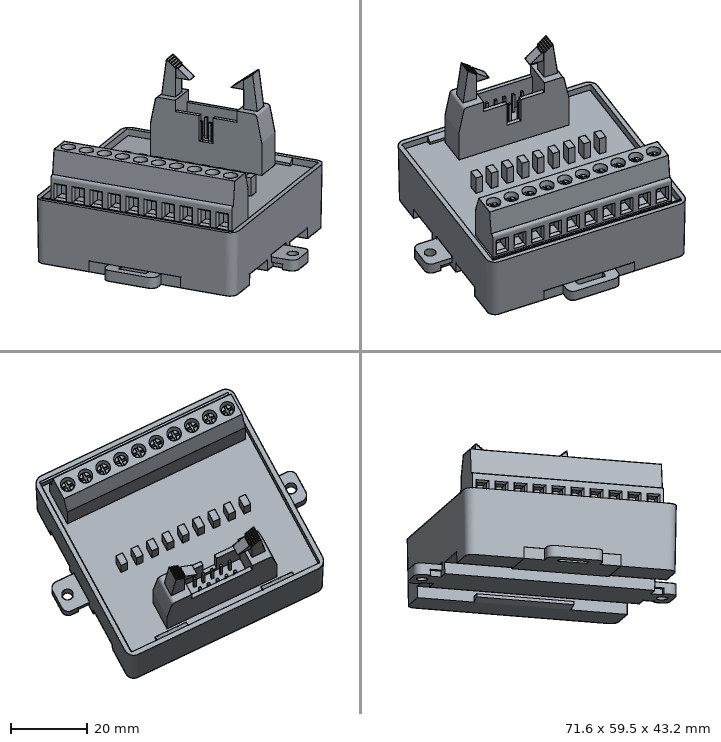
import cadquery as cq
import math

HOUSING_X = 58.0
HOUSING_Y = 56.0
HOUSING_Z = 18.05
DRAFT_ANGLE = 1.0
CORNER_RADIUS = 2.3
RIM_WALL = 1.35
RIM_CORNER_RADIUS = 0.35
LIP_DEPTH = 0.6
LIP_STEP = 0.15

BOARD_TOP = 16.2
BOARD_THICKNESS = 1.6
BOARD_GAP = 0.2

TAB_X = 9.1
TAB_Y = 1.35
TAB_SPACING = 31.1
TAB_FRONT_Z = 16.9

FOOT_Y = -0.3
FOOT_HEIGHT = 3.1
RAIL_WIDTH = 35.65
CENTRE_BLOCK_Y = 13.9
HOOK_HEIGHT = 1.6
HOOK_TIP_Z = 0.7
FIXED_HOOK_REACH = 2.7
RAIL_RIB_Y = 1.7
RAIL_RIB_SETBACK = 2.2
RAIL_RIB_HEIGHT = 0.3
EAR_TIP_X = 35.8
EAR_Y = 9.1
EAR_CORNER_RADIUS = 1.9
EAR_HOLE_DIAMETER = 3.0
EAR_HOLE_X = 32.8
EAR_RELIEF_X = 31.9
EAR_RELIEF_HEIGHT = 1.6
EAR_RELIEF_Y = 1.1
EAR_POCKET_RISE = 0.65

LATCH_X = 26.5
LATCH_HOOK_REACH = 2.1
LATCH_HOOK_BEVEL = 0.9
PULL_X = 15.2
PULL_END_Y = -31.5
PULL_CORNER_RADIUS = 1.9
PULL_SLOT_X = 8.0
PULL_SLOT_END_Y = -29.4
PULL_SLOT_RADIUS = 0.5

TERMINAL_COUNT = 10
TERMINAL_X = 52.3
TERMINAL_ROW_X = 46.8
TERMINAL_FRONT_Y = -23.7
TERMINAL_BACK_Y = -13.5
TERMINAL_TOP_FRONT_Y = -21.85
TERMINAL_TOP_BACK_Y = -15.5
TERMINAL_TOP = 30.2
TERMINAL_BACK_SHOULDER = 24.9
TERMINAL_LEDGE = 23.5
TERMINAL_LEDGE_DEPTH = 1.0
TERMINAL_LEDGE_RADIUS = 0.85

SCREW_SEAT_DIAMETER = 3.8
SCREW_HEAD_DIAMETER = 3.0
SCREW_SEAT_DEPTH = 1.4
SCREW_SLOT_WIDTH = 0.6
SCREW_SLOT_DEPTH = 0.6

ENTRY_X = 3.6
ENTRY_TOP = 21.5
ENTRY_BOTTOM = 16.9
ENTRY_BEVEL = 0.5
ENTRY_BEVEL_DEPTH = 0.7
ENTRY_DEPTH = 3.6

LAMP_COUNT = 9
LAMP_PITCH = 4.5
LAMP_ROW_X = 0.7
LAMP_ROW_Y = 3.45
LAMP_X = 1.9
LAMP_Y = 3.0
LAMP_TOP = 21.35

HEADER_X = 32.2
HEADER_Y = 8.2
HEADER_CENTRE_Y = 20.3
HEADER_TOP = 33.1
HEADER_SHOULDER = 25.3
HEADER_TOP_X = 29.1
HEADER_TOP_RADIUS = 1.0
HEADER_WALL = 1.15
HEADER_WALL_TOP = 29.9
SOCKET_X = 17.75
SOCKET_FLOOR = 21.5
KEY_X = 4.0
KEY_BOTTOM = 22.8

PIN_COLUMNS = 5
PIN_ROWS = 2
PIN_COLUMN_PITCH = 2.6
PIN_ROW_PITCH = 3.15
PIN_SIDE = 0.65
PIN_TOP = 27.35

LEVER_Y = 4.0
LEVER_TOP = 43.25
LEVER_BASE_OUTER_X = 13.95
LEVER_TOP_OUTER_X = 12.45
LEVER_TIP_FLAT = 0.2
LEVER_INNER_X = 9.9
CLAW_Y = 2.9
CLAW_TIP_X = 5.95
CLAW_BOTTOM = 38.3
GRIP_TEETH = 5
GRIP_END_X = 9.4
GRIP_DEPTH = 0.2

inner_x = HOUSING_X / 2 - RIM_WALL
inner_y = HOUSING_Y / 2 - RIM_WALL
bottom_x = HOUSING_X - 2 * HOUSING_Z * math.tan(math.radians(DRAFT_ANGLE))
bottom_y = HOUSING_Y - 2 * HOUSING_Z * math.tan(math.radians(DRAFT_ANGLE))
bottom_front_y = -bottom_y / 2
rail_back_y = FOOT_Y + RAIL_WIDTH / 2
rail_front_y = FOOT_Y - RAIL_WIDTH / 2
terminal_pitch = TERMINAL_ROW_X / (TERMINAL_COUNT - 1)
board_front_y = -inner_y + LIP_DEPTH + BOARD_GAP


def block(x_min, x_max, y_min, y_max, z_min, z_max):
    """A box between the given limits."""
    size = (x_max - x_min, y_max - y_min, z_max - z_min)
    return cq.Workplane("XY").box(*size, centered=False).translate((x_min, y_min, z_min))


def centred_block(x, y, x_size, y_size, z_min, z_max):
    """A box centred on (x, y), between two heights."""
    return block(x - x_size / 2, x + x_size / 2, y - y_size / 2, y + y_size / 2, z_min, z_max)


def x_prism(points, x_centre, x_size):
    """A (y, z) outline extruded along X, centred on x_centre."""
    outline = cq.Workplane("YZ", origin=(x_centre, 0, 0)).polyline(points).close()
    return outline.extrude(x_size / 2, both=True)


def y_prism(points, y_centre, y_size):
    """An (x, z) outline extruded along Y, centred on y_centre."""
    outline = cq.Workplane("XZ", origin=(0, y_centre, 0)).polyline(points).close()
    return outline.extrude(y_size / 2, both=True)


def spread(count, pitch, centre=0.0):
    """Evenly pitched positions around a centre."""
    return [centre + (i - (count - 1) / 2) * pitch for i in range(count)]



def make_shell():
    """The drafted box, with a seat for the board and a stepped front lip."""
    bottom_outline = cq.Sketch().rect(bottom_x, bottom_y).vertices().fillet(CORNER_RADIUS)
    shell = cq.Workplane("XY").placeSketch(bottom_outline).extrude(HOUSING_Z, taper=-DRAFT_ANGLE)
    board_seat = block(
        -inner_x, inner_x, -inner_y + LIP_DEPTH, inner_y, BOARD_TOP - BOARD_THICKNESS, HOUSING_Z
    ).edges("|Z").fillet(RIM_CORNER_RADIUS)
    lip_step = block(
        -inner_x, inner_x, -inner_y, -inner_y + LIP_DEPTH, HOUSING_Z - LIP_STEP, HOUSING_Z
    )
    return shell.cut(board_seat).cut(lip_step)


def make_snap_tab(x):
    """A wedge on the back wall that reaches over the board."""
    outline = [
        (inner_y, BOARD_TOP),
        (inner_y - TAB_Y, BOARD_TOP),
        (inner_y - TAB_Y, TAB_FRONT_Z),
        (inner_y, HOUSING_Z),
    ]
    return x_prism(outline, x, TAB_X)


def make_rail_channel(side):
    """The channel behind (+1) or in front of (-1) the centre block."""
    channel_y = (RAIL_WIDTH - CENTRE_BLOCK_Y) / 2
    centre_y = FOOT_Y + side * (RAIL_WIDTH + CENTRE_BLOCK_Y) / 4
    return centred_block(0, centre_y, HOUSING_X, channel_y, 0, FOOT_HEIGHT)


def make_fixed_hook():
    """The hook that grips the back edge of the rail."""
    tip_y = rail_back_y - FIXED_HOOK_REACH
    outline = [
        (rail_back_y, 0),
        (rail_back_y, HOOK_HEIGHT),
        (tip_y, HOOK_HEIGHT),
        (tip_y, HOOK_TIP_Z),
    ]
    return x_prism(outline, 0, LATCH_X)


def make_rail_rib():
    """A low rib on the roof of the back rail channel, above the tip of the fixed hook."""
    back_y = rail_back_y - RAIL_RIB_SETBACK
    bottom_z = FOOT_HEIGHT - RAIL_RIB_HEIGHT
    return block(-LATCH_X / 2, LATCH_X / 2, back_y - RAIL_RIB_Y, back_y, bottom_z, FOOT_HEIGHT)


def make_ear_pocket():
    """A bevelled relief in the housing wall above the ear on the -X side."""
    wall_x = -HOUSING_X / 2
    outline = [
        (wall_x, FOOT_HEIGHT),
        (wall_x, FOOT_HEIGHT + EAR_POCKET_RISE),
        (-bottom_x / 2, FOOT_HEIGHT + EAR_POCKET_RISE),
        (-bottom_x / 2 + EAR_POCKET_RISE, FOOT_HEIGHT),
    ]
    return y_prism(outline, FOOT_Y, EAR_Y)


def make_ear():
    """The mounting ear on the -X side, with a relief under each long edge."""
    ear = (
        block(-EAR_TIP_X, -inner_x, FOOT_Y - EAR_Y / 2, FOOT_Y + EAR_Y / 2, 0, FOOT_HEIGHT)
        .edges("|Z and <X")
        .fillet(EAR_CORNER_RADIUS)
    )
    hole = (
        cq.Workplane("XY", origin=(-EAR_HOLE_X, FOOT_Y, 0))
        .circle(EAR_HOLE_DIAMETER / 2)
        .extrude(FOOT_HEIGHT)
    )
    ear = ear.cut(hole)
    for y in spread(2, EAR_Y - EAR_RELIEF_Y, FOOT_Y):
        y_min = y - EAR_RELIEF_Y / 2
        y_max = y + EAR_RELIEF_Y / 2
        ear = ear.cut(block(-EAR_RELIEF_X, -bottom_x / 2, y_min, y_max, 0, EAR_RELIEF_HEIGHT))
    return ear


def make_latch_pocket():
    """The opening in the front wall that holds the latch."""
    return block(-LATCH_X / 2, LATCH_X / 2, -HOUSING_Y / 2, rail_front_y, 0, FOOT_HEIGHT)


def make_housing():
    housing = make_shell()
    for x in spread(2, TAB_SPACING):
        housing = housing.union(make_snap_tab(x))
    for side in (1, -1):
        housing = housing.cut(make_rail_channel(side))
    housing = housing.union(make_fixed_hook()).union(make_rail_rib()).cut(make_latch_pocket())
    pocket = make_ear_pocket()
    ear = make_ear()
    housing = housing.cut(pocket).cut(pocket.mirror("YZ"))
    return housing.union(ear).union(ear.mirror("YZ"))



def make_latch():
    """A slide with a hook at the rail and a slotted pull tab outside the housing."""
    slide = block(-LATCH_X / 2, LATCH_X / 2, bottom_front_y, rail_front_y, 0, FOOT_HEIGHT)
    tip_y = rail_front_y + LATCH_HOOK_REACH
    hook_outline = [
        (rail_front_y, 0),
        (tip_y - LATCH_HOOK_BEVEL, 0),
        (tip_y, HOOK_TIP_Z),
        (tip_y, HOOK_HEIGHT),
        (rail_front_y, HOOK_HEIGHT),
    ]
    pull = (
        block(-PULL_X / 2, PULL_X / 2, PULL_END_Y, bottom_front_y, 0, FOOT_HEIGHT)
        .edges("|Z and <Y")
        .fillet(PULL_CORNER_RADIUS)
    )
    slot = (
        block(-PULL_SLOT_X / 2, PULL_SLOT_X / 2, PULL_SLOT_END_Y, bottom_front_y, 0, FOOT_HEIGHT)
        .edges("|Z and <Y")
        .fillet(PULL_SLOT_RADIUS)
    )
    return slide.union(x_prism(hook_outline, 0, LATCH_X)).union(pull.cut(slot))



def make_terminal_body():
    """The tapered bar of the terminal block, with a rounded ledge along its front."""
    outline = [
        (TERMINAL_FRONT_Y, BOARD_TOP),
        (TERMINAL_FRONT_Y, TERMINAL_LEDGE),
        (TERMINAL_FRONT_Y + TERMINAL_LEDGE_DEPTH, TERMINAL_LEDGE),
        (TERMINAL_TOP_FRONT_Y, TERMINAL_TOP),
        (TERMINAL_TOP_BACK_Y, TERMINAL_TOP),
        (TERMINAL_BACK_Y, TERMINAL_BACK_SHOULDER),
        (TERMINAL_BACK_Y, BOARD_TOP),
    ]
    body = x_prism(outline, 0, TERMINAL_X)
    ledge_edge = cq.selectors.NearestToPointSelector((0, TERMINAL_FRONT_Y, TERMINAL_LEDGE))
    return body.edges(ledge_edge).fillet(TERMINAL_LEDGE_RADIUS)


def make_screw_seat(x):
    """A tapered seat that ends on a screw head with a cross slot."""
    y = (TERMINAL_TOP_FRONT_Y + TERMINAL_TOP_BACK_Y) / 2
    head_z = TERMINAL_TOP - SCREW_SEAT_DEPTH
    seat = (
        cq.Workplane("XY", origin=(x, y, head_z))
        .circle(SCREW_HEAD_DIAMETER / 2)
        .workplane(offset=SCREW_SEAT_DEPTH)
        .circle(SCREW_SEAT_DIAMETER / 2)
        .loft()
    )
    slot_z = head_z - SCREW_SLOT_DEPTH
    cross = centred_block(x, y, SCREW_HEAD_DIAMETER, SCREW_SLOT_WIDTH, slot_z, head_z).union(
        centred_block(x, y, SCREW_SLOT_WIDTH, SCREW_HEAD_DIAMETER, slot_z, head_z)
    )
    head = cq.Workplane("XY", origin=(x, y, slot_z)).circle(SCREW_HEAD_DIAMETER / 2)
    return seat.union(cross.intersect(head.extrude(SCREW_SLOT_DEPTH)))


def make_wire_entry(x):
    """A bevelled rectangular mouth that leads into a straight pocket."""
    height = ENTRY_TOP - ENTRY_BOTTOM
    pocket_x = ENTRY_X - 2 * ENTRY_BEVEL
    pocket_z = height - 2 * ENTRY_BEVEL
    mouth = (
        cq.Workplane("XZ", origin=(x, TERMINAL_FRONT_Y, (ENTRY_TOP + ENTRY_BOTTOM) / 2))
        .rect(ENTRY_X, height)
        .workplane(offset=-ENTRY_BEVEL_DEPTH)
        .rect(pocket_x, pocket_z)
        .loft()
    )
    pocket = centred_block(
        x, TERMINAL_FRONT_Y + ENTRY_DEPTH / 2, pocket_x, ENTRY_DEPTH,
        ENTRY_BOTTOM + ENTRY_BEVEL, ENTRY_TOP - ENTRY_BEVEL,
    )
    return mouth.union(pocket)


def make_terminal_block():
    terminal = make_terminal_body()
    for x in spread(TERMINAL_COUNT, terminal_pitch):
        terminal = terminal.cut(make_screw_seat(x)).cut(make_wire_entry(x))
    return terminal


def make_header_body():
    """The header shell: two tall ends, lower side walls, a socket and a key slot."""
    outline = [
        (-HEADER_X / 2, BOARD_TOP),
        (-HEADER_X / 2, HEADER_SHOULDER),
        (-HEADER_TOP_X / 2, HEADER_TOP),
        (HEADER_TOP_X / 2, HEADER_TOP),
        (HEADER_X / 2, HEADER_SHOULDER),
        (HEADER_X / 2, BOARD_TOP),
    ]
    body = y_prism(outline, HEADER_CENTRE_Y, HEADER_Y)
    body = body.faces(">Z").edges("|Y").fillet(HEADER_TOP_RADIUS)
    opening = centred_block(0, HEADER_CENTRE_Y, SOCKET_X, HEADER_Y, HEADER_WALL_TOP, HEADER_TOP)
    socket_y = HEADER_Y - 2 * HEADER_WALL
    socket = centred_block(0, HEADER_CENTRE_Y, SOCKET_X, socket_y, SOCKET_FLOOR, HEADER_TOP)
    front_y = HEADER_CENTRE_Y - HEADER_Y / 2
    key = block(-KEY_X / 2, KEY_X / 2, front_y, front_y + HEADER_WALL, KEY_BOTTOM, HEADER_TOP)
    return body.cut(opening).cut(socket).cut(key)


def make_lever():
    """The ejector lever on the -X end, with a claw and a toothed grip."""
    tip_x = -LEVER_TOP_OUTER_X + LEVER_TIP_FLAT
    slope = (LEVER_TOP - CLAW_BOTTOM) / (-CLAW_TIP_X - tip_x)
    inner_top = LEVER_TOP - slope * (-LEVER_INNER_X - tip_x)
    arm_outline = [
        (-LEVER_BASE_OUTER_X, HEADER_TOP - HEADER_TOP_RADIUS),
        (-LEVER_TOP_OUTER_X, LEVER_TOP),
        (tip_x, LEVER_TOP),
        (-LEVER_INNER_X, inner_top),
        (-LEVER_INNER_X, HEADER_TOP - HEADER_TOP_RADIUS),
    ]
    claw_outline = [
        (-LEVER_INNER_X, CLAW_BOTTOM),
        (-LEVER_INNER_X, inner_top),
        (-CLAW_TIP_X, CLAW_BOTTOM),
    ]
    lever = y_prism(arm_outline, HEADER_CENTRE_Y, LEVER_Y)
    lever = lever.union(y_prism(claw_outline, HEADER_CENTRE_Y, CLAW_Y))
    tooth_x = (-GRIP_END_X - tip_x) / GRIP_TEETH
    for i in range(GRIP_TEETH):
        x = tip_x + i * tooth_x
        z = LEVER_TOP - slope * i * tooth_x
        groove_outline = [
            (x, z),
            (x + tooth_x / 2, z - slope * tooth_x / 2 - GRIP_DEPTH),
            (x + tooth_x, z - slope * tooth_x),
        ]
        lever = lever.cut(y_prism(groove_outline, HEADER_CENTRE_Y, LEVER_Y))
    return lever


def make_header():
    header = make_header_body()
    for x in spread(PIN_COLUMNS, PIN_COLUMN_PITCH):
        for y in spread(PIN_ROWS, PIN_ROW_PITCH, HEADER_CENTRE_Y):
            header = header.union(centred_block(x, y, PIN_SIDE, PIN_SIDE, SOCKET_FLOOR, PIN_TOP))
    lever = make_lever()
    return header.union(lever).union(lever.mirror("YZ"))


def make_board():
    """The board, in one piece with its terminal block, header and lamps."""
    board_x = inner_x - BOARD_GAP
    board = block(
        -board_x, board_x, board_front_y, inner_y, BOARD_TOP - BOARD_THICKNESS, BOARD_TOP
    ).edges("|Z").fillet(RIM_CORNER_RADIUS)
    board = board.union(make_terminal_block()).union(make_header())
    for x in spread(LAMP_COUNT, LAMP_PITCH, LAMP_ROW_X):
        board = board.union(centred_block(x, LAMP_ROW_Y, LAMP_X, LAMP_Y, BOARD_TOP, LAMP_TOP))
    return board


housing = make_housing()
latch = make_latch()
board = make_board()

result = cq.Compound.makeCompound([housing.val(), latch.val(), board.val()])